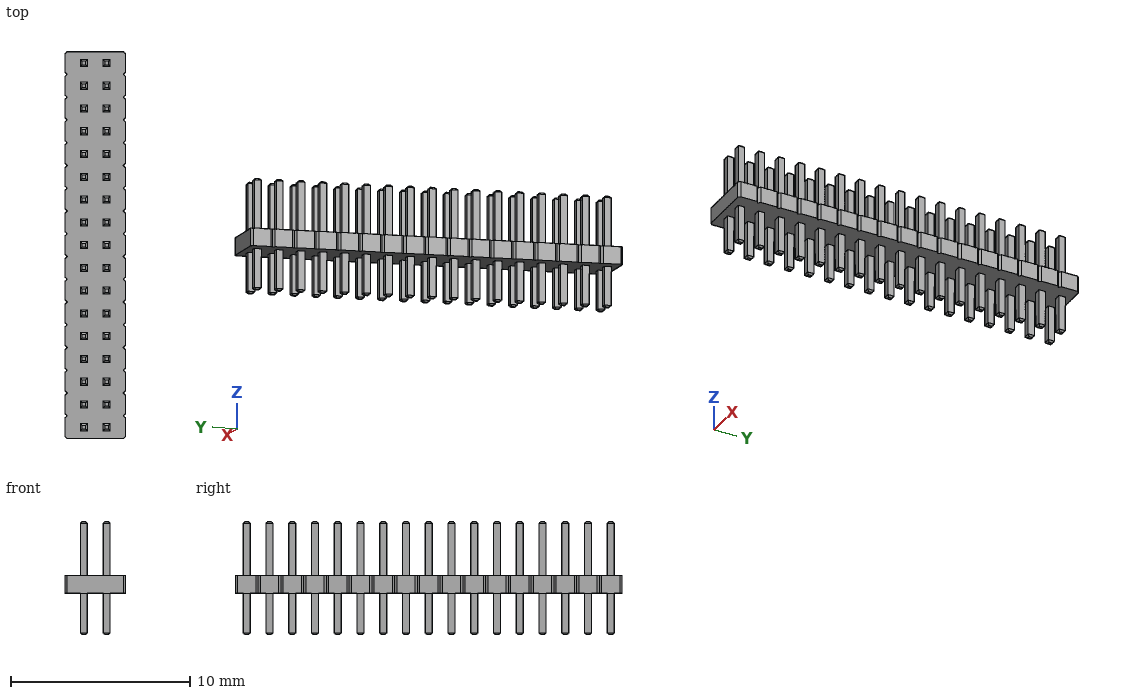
import cadquery as cq

pitch = 1.27
row_count = 17
column_count = 2
body_width = 3.4
body_height = 1.0
corner_chamfer = 0.127
pin_side = 0.4
pin_chamfer = 0.1
pin_length_above = 3.0
pin_length_below = 2.3

pin_length = pin_length_below + body_height + pin_length_above


def centered_positions(count):
    """Positions at the pin pitch, centered about zero."""
    return [(index - (count - 1) / 2) * pitch for index in range(count)]


def make_segment():
    """One body segment, a pitch long, with chamfered vertical corners."""
    block = cq.Workplane("XY").box(body_width, pitch, body_height, centered=(True, True, False))
    return block.edges("|Z").chamfer(corner_chamfer)


def make_pin():
    """One square pin with both tips chamfered, passing through the body."""
    blank = cq.Workplane("XY").box(pin_side, pin_side, pin_length, centered=(True, True, False))
    tapered = blank.faces("<Z or >Z").edges().chamfer(pin_chamfer)
    return tapered.translate((0, 0, -pin_length_below))


segment = make_segment()
body = cq.Workplane("XY")
for y in centered_positions(row_count):
    body = body.add(segment.translate((0, y, 0)))
body = body.combine(clean=True)

pin = make_pin()
pins = cq.Workplane("XY")
for x in centered_positions(column_count):
    for y in centered_positions(row_count):
        pins = pins.add(pin.translate((x, y, 0)))

result = body.union(cq.Workplane(cq.Compound.makeCompound(pins.vals())), clean=True)